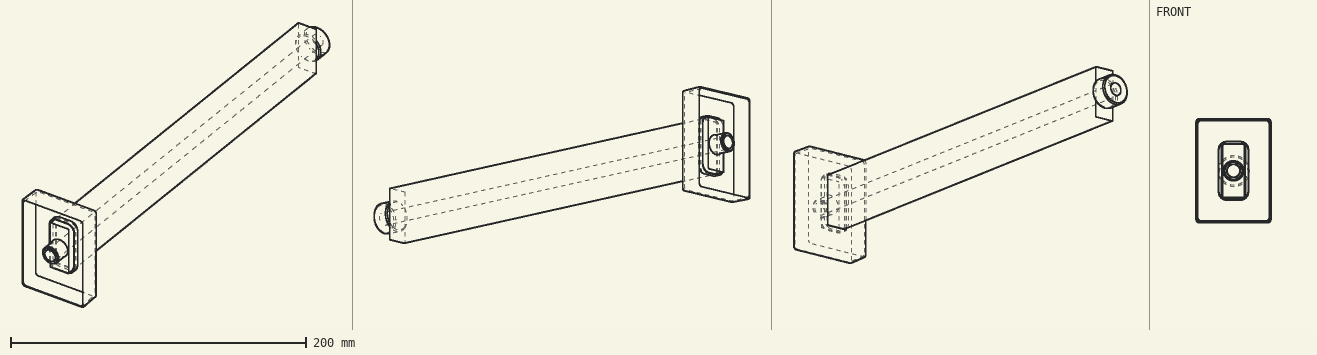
import cadquery as cq

total_length = 323.7
bore_diameter = 8.7

arm_width = 15.0
arm_height = 36.0
arm_edge_radius = 0.5
inlet_diameter = 13.0
inlet_length = 11.3
inlet_chamfer = 0.5
inlet_flare = 0.3
inlet_flare_length = 1.5
outlet_diameter = 21.0
outlet_length = 12.5
outlet_chamfer = 1.0

cover_width = 50.8
cover_height = 70.5
cover_depth = 15.5
cover_wall = 1.0
cover_draft = 1.3
cover_edge_radius = 0.5
cover_corner_radius = 2.5
cover_rim_y = 3.5

slot_width = 16.2
slot_height = 36.5
slot_corner_radius = 1.0

seal_width = 20.5
seal_height = 39.8
seal_corner_radius = 5.8
seal_thickness = 4.0
seal_lip = 0.3

arm_end_y = total_length - outlet_length
cover_back_y = cover_rim_y + cover_depth
floor_y = cover_back_y - cover_wall
seal_y = floor_y - seal_thickness


def at_y(y):
    """Sketch plane across the arm at the given Y, extruding towards +Y."""
    return cq.Workplane(cq.Plane(origin=(0, y, 0), xDir=(-1, 0, 0), normal=(0, 1, 0)))


def make_arm():
    """Bar with its inlet and outlet spigots, bored from end to end."""
    bar = at_y(inlet_length).rect(arm_width, arm_height).extrude(arm_end_y - inlet_length)
    bar = bar.edges("|Y").fillet(arm_edge_radius)
    inlet = at_y(0).circle(inlet_diameter / 2).extrude(inlet_length)
    inlet = inlet.faces("<Y").chamfer(inlet_chamfer)
    flare = at_y(inlet_length - inlet_flare_length).circle(inlet_diameter / 2)
    flare = flare.workplane(offset=inlet_flare_length).circle(inlet_diameter / 2 + inlet_flare).loft()
    outlet = at_y(arm_end_y).circle(outlet_diameter / 2).extrude(outlet_length)
    outlet = outlet.edges("%CIRCLE").chamfer(outlet_chamfer)
    bore = at_y(0).circle(bore_diameter / 2).extrude(total_length)
    return bar.union(inlet).union(flare).union(outlet).cut(bore)


def cover_block(inset, depth):
    """Drafted rectangular block that starts at the rim, inset from the outside of the cover."""
    outline = cq.Sketch().rect(cover_width - 2 * inset, cover_height - 2 * inset)
    outline = outline.vertices().fillet(cover_corner_radius)
    return at_y(cover_rim_y).placeSketch(outline).extrude(depth, taper=cover_draft)


def slot_block(start_y, depth):
    """Rectangular opening around the arm, with a small clearance."""
    slot = at_y(start_y).rect(slot_width, slot_height).extrude(depth)
    return slot.edges("|Y").fillet(slot_corner_radius)


def make_cover():
    """Drafted cup with rounded rim and back edges and a slot for the arm."""
    block = cover_block(0, cover_depth).faces("<Y or >Y").edges().fillet(cover_edge_radius)
    cup = block.cut(cover_block(cover_wall, cover_depth - cover_wall))
    return cup.cut(slot_block(cover_rim_y, cover_depth))


def seal_funnel():
    """Sloped mouth of the seal, from just inside its rim down to the opening."""
    mouth = cq.Sketch().rect(seal_width - 2 * seal_lip, seal_height - 2 * seal_lip)
    mouth = mouth.vertices().fillet(seal_corner_radius - seal_lip)
    throat = cq.Sketch().rect(slot_width, slot_height).vertices().fillet(slot_corner_radius)
    throat = throat.moved(cq.Location(cq.Vector(0, 0, seal_thickness)))
    return at_y(seal_y).placeSketch(mouth, throat).loft()


def make_seal():
    """Oblong ring with a straight outer wall and a sloped inner face."""
    ring = at_y(seal_y).rect(seal_width, seal_height).extrude(seal_thickness)
    ring = ring.edges("|Y").fillet(seal_corner_radius)
    opening = slot_block(seal_y, seal_thickness)
    return ring.cut(opening).cut(seal_funnel())


arm = make_arm()
cover = make_cover()
seal = make_seal()

result = cq.Compound.makeCompound([arm.solids().val(), cover.solids().val(), seal.solids().val()])